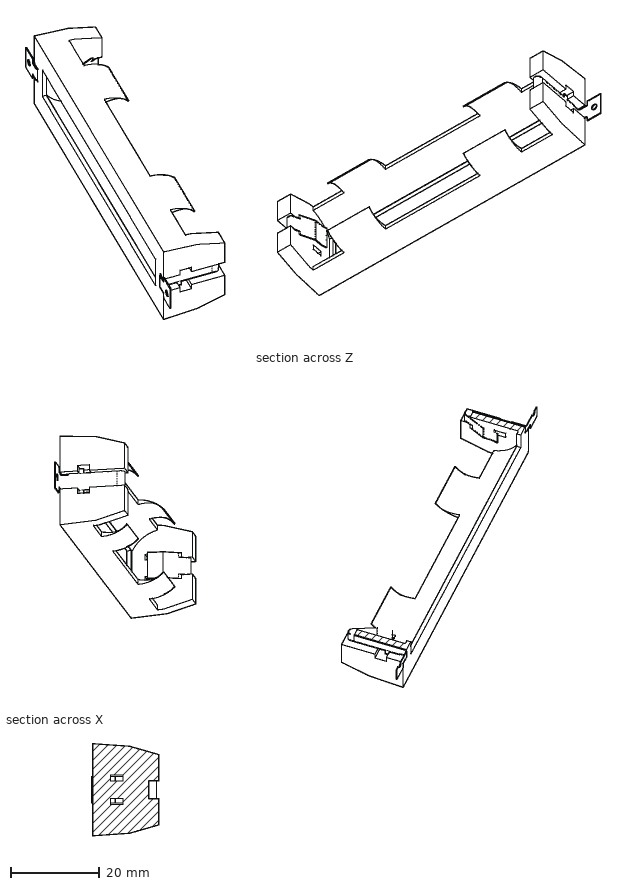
import cadquery as cq
import math


overall_length = 87.0
overall_depth = 15.3
overall_height = 21.0
sheet = 0.3

housing_length = 77.95
end_wall_thickness = 3.9
front_y = sheet
floor_y = 1.3
side_wall_y = 7.2
shoulder_y = 8.6
shoulder_half_height = 9.9
crown_half_height = 8.0
opening_length = 68.2
opening_height = 8.2

bore_y = 9.4
bore_radius = 9.1

finger_length = 12.2
finger_offset = 19.9
finger_tip_y = 13.2
finger_tip_half_height = 7.5
finger_tip_inset = 0.2
finger_outer_bulge = 0.6
finger_inner_bulge = 0.5

slot_depth = 2.1
slot_height = 4.0
web_y = 13.05
window_start_y = 4.35
window_end_y = 7.1
window_height = 6.6

tab_length = 4.0
tab_height = 6.1
neck_height = 3.5
strip_start_y = 1.8
wing_end_y = 5.4
tab_hole_diameter = 1.5
tab_hole_inset = 1.9
foot_radius = 0.4
fold_radius = 0.9
fold_top_y = 14.8
spring_slope = 24.5
spring_knee_x = 33.0
spring_foot_y = 6.7
spring_tip_x = 32.6
spring_tip_y = 5.4
spring_wide_x = 34.6

half_length = housing_length / 2
half_height = overall_height / 2
inner_length = housing_length - 2 * end_wall_thickness
inner_x = inner_length / 2
slot_floor_x = half_length - slot_depth


def box(x_range, y_range, z_range):
    """Box between two limits along each axis."""
    limits = (x_range, y_range, z_range)
    size = [high - low for low, high in limits]
    start = [low for low, high in limits]
    return cq.Workplane("XY").box(*size, centered=False).translate(tuple(start))


def centred(size):
    return (-size / 2, size / 2)


def flank_half_height(y):
    """Half height of the straight outer flank between the front face and the shoulder."""
    fraction = (y - front_y) / (shoulder_y - front_y)
    return half_height + fraction * (shoulder_half_height - half_height)


def bore_half_height(y):
    return math.sqrt(bore_radius ** 2 - (y - bore_y) ** 2)


def housing_block():
    """Full-length block with the tapered outline of the end walls."""
    upper = [
        (front_y, half_height),
        (shoulder_y, shoulder_half_height),
        (overall_depth, crown_half_height),
    ]
    lower = [(y, -z) for y, z in reversed(upper)]
    profile = cq.Workplane("YZ").polyline(upper + lower).close()
    return profile.extrude(half_length, both=True)


def battery_cavity():
    """Bore above the floor, and everything between the end walls above the side walls."""
    bore = cq.Workplane("YZ").center(bore_y, 0).circle(bore_radius).extrude(inner_x, both=True)
    above_floor = box(centred(inner_length), (floor_y, overall_depth), centred(overall_height))
    above_sides = box(centred(inner_length), (side_wall_y, overall_depth), centred(overall_height))
    return bore.intersect(above_floor).union(above_sides)


def bulged_middle(start, end, bulge):
    """Middle point of an arc that rises by the bulge above the chord, away from the bore."""
    run = end[0] - start[0]
    drop = start[1] - end[1]
    chord = math.hypot(run, drop)
    return (
        (start[0] + end[0]) / 2 + bulge * drop / chord,
        (start[1] + end[1]) / 2 + bulge * run / chord,
    )


def snap_finger(middle_x, side):
    """Tapered finger that continues a side wall and curls over the battery."""
    root_half_height = bore_half_height(side_wall_y)
    outer_root = (side_wall_y, flank_half_height(side_wall_y))
    outer_tip = (finger_tip_y, finger_tip_half_height)
    outer_middle = bulged_middle(outer_root, outer_tip, finger_outer_bulge)
    inner_tip = (outer_tip[0] - finger_tip_inset, outer_tip[1] - finger_tip_inset)
    bore_side = (bore_y, bore_radius)
    curl_middle = bulged_middle(bore_side, inner_tip, finger_inner_bulge)
    mid_y = (side_wall_y + bore_y) / 2
    finger = (
        cq.Workplane("YZ", origin=(middle_x - finger_length / 2, 0, 0))
        .moveTo(side_wall_y, root_half_height)
        .lineTo(*outer_root)
        .threePointArc(outer_middle, outer_tip)
        .lineTo(*inner_tip)
        .threePointArc(curl_middle, bore_side)
        .threePointArc((mid_y, bore_half_height(mid_y)), (side_wall_y, root_half_height))
        .close()
        .extrude(finger_length)
    )
    return finger if side > 0 else finger.mirror("XY")


def contact_slot():
    """Slot in the -X end wall, open through its top, with a window on each side."""
    slot = box((-half_length, -slot_floor_x), (front_y, overall_depth), centred(slot_height))
    top_gap = box((-half_length, -inner_x), (web_y, overall_depth), centred(slot_height))
    cutter = slot.union(top_gap)
    z_inner = slot_height / 2
    z_outer = window_height / 2
    for z_range in ((-z_outer, -z_inner), (z_inner, z_outer)):
        cutter = cutter.union(box((-half_length, -inner_x), (window_start_y, window_end_y), z_range))
    return cutter


def make_housing():
    opening = box(centred(opening_length), (front_y, floor_y), centred(opening_height))
    housing = housing_block().cut(battery_cavity()).cut(opening)
    for middle_x in (-finger_offset, finger_offset):
        for side in (-1, 1):
            housing = housing.union(snap_finger(middle_x, side), clean=False)
    slot = contact_slot()
    return housing.cut(slot, clean=False).cut(slot.mirror("YZ"), clean=False)


def arc_points(center, radius, start, end):
    """Middle and end point of an arc between two angles."""
    angles = ((start + end) / 2, end)
    return [(center[0] + radius * math.cos(t), center[1] + radius * math.sin(t)) for t in angles]


def contact_ribbon():
    """Bent sheet of the -X contact, as wide as its tab: foot, strip, fold and spring."""
    strip_x = -slot_floor_x - sheet / 2
    fold_x = strip_x + fold_radius
    fold_y = fold_top_y - sheet / 2 - fold_radius
    slope = math.radians(spring_slope)
    fold_end = (fold_x + fold_radius * math.cos(slope), fold_y + fold_radius * math.sin(slope))
    knee_y = fold_end[1] - (-spring_knee_x - fold_end[0]) / math.tan(slope)
    tip_slope = math.atan((spring_tip_x - spring_knee_x) / (spring_foot_y - spring_tip_y))

    def face_points(offset):
        """Points along one face of the sheet, at a distance from its middle line."""
        foot_center = (strip_x - foot_radius, sheet / 2 + foot_radius)
        foot = arc_points(foot_center, foot_radius - offset, -math.pi / 2, 0)
        fold = arc_points((fold_x, fold_y), fold_radius + offset, math.pi, slope)
        return {
            "tab_end": (-overall_length / 2, sheet / 2 + offset),
            "foot_start": (foot_center[0], sheet / 2 + offset),
            "foot": foot,
            "fold_start": (strip_x - offset, fold_y),
            "fold": fold,
            "knee": (-spring_knee_x + offset, knee_y + offset * math.tan(slope / 2)),
            "spring_foot": (-spring_knee_x + offset, spring_foot_y - offset * math.tan(tip_slope / 2)),
            "tip": (
                -spring_tip_x + offset * math.cos(tip_slope),
                spring_tip_y - offset * math.sin(tip_slope),
            ),
        }

    left = face_points(sheet / 2)
    right = face_points(-sheet / 2)
    outline = (
        cq.Workplane("XY")
        .moveTo(*left["tab_end"])
        .lineTo(*left["foot_start"])
        .threePointArc(*left["foot"])
        .lineTo(*left["fold_start"])
        .threePointArc(*left["fold"])
        .lineTo(*left["knee"])
        .lineTo(*left["spring_foot"])
        .lineTo(*left["tip"])
        .lineTo(*right["tip"])
        .lineTo(*right["spring_foot"])
        .lineTo(*right["knee"])
        .lineTo(*right["fold"][1])
        .threePointArc(right["fold"][0], right["fold_start"])
        .lineTo(*right["foot"][1])
        .threePointArc(right["foot"][0], right["foot_start"])
        .lineTo(*right["tab_end"])
        .close()
    )
    return outline.extrude(tab_height / 2, both=True)


def make_contact(mirrored):
    """Contact at the -X end, or at +X when mirrored: the ribbon trimmed to the width of each of its parts."""
    tab_end_x = -overall_length / 2 + tab_length
    tab = box((-overall_length / 2, tab_end_x), (0, sheet), centred(tab_height))
    neck = box((tab_end_x, -slot_floor_x), (0, strip_start_y), centred(neck_height))
    strip = box((-half_length, -spring_wide_x), (strip_start_y, overall_depth), centred(slot_height))
    wings = box((-half_length, -slot_floor_x), (window_start_y, wing_end_y), centred(tab_height))
    spring = box((-spring_wide_x, 0), (0, overall_depth), centred(tab_height))
    widths = tab.union(neck).union(strip).union(wings).union(spring)
    hole = (
        cq.Workplane("XZ", origin=(-overall_length / 2 + tab_hole_inset, 0, 0))
        .circle(tab_hole_diameter / 2)
        .extrude(sheet, both=True)
    )
    contact = contact_ribbon().intersect(widths).cut(hole)
    return contact.mirror("YZ") if mirrored else contact


housing = make_housing()
contacts = []
for mirrored in (False, True):
    contacts.append(make_contact(mirrored))

result = cq.Compound.makeCompound([housing.val(), *[contact.val() for contact in contacts]])